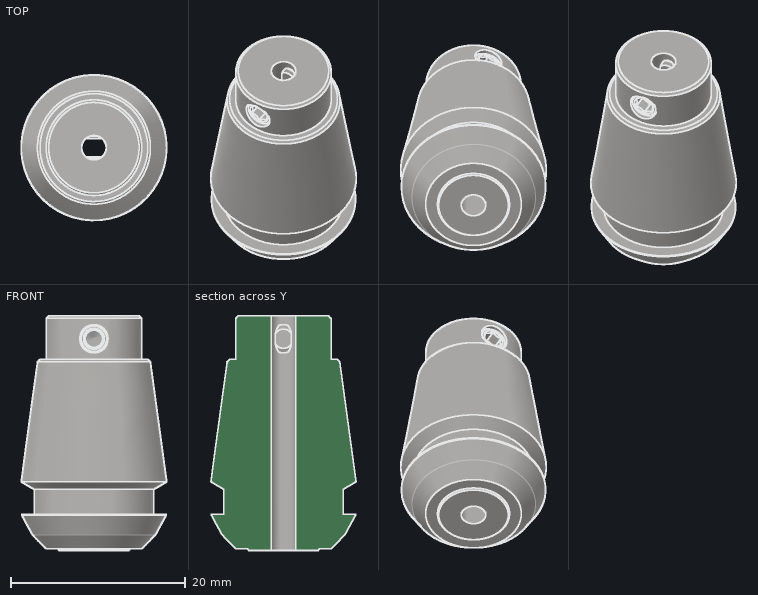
import cadquery as cq
import math

total_height = 27.0
shoulder_height = 22.0
sleeve_rim_height = 7.9
sleeve_base_height = 7.03
foot_top_height = 4.2
foot_land_height = 0.15
foot_break_height = 1.83
pad_height = 0.2

neck_diameter = 11.0
sleeve_top_diameter = 13.0
sleeve_rim_diameter = 16.76
groove_diameter = 13.8
foot_diameter = 16.6
foot_break_diameter = 14.2
foot_bottom_diameter = 11.0
pad_top_diameter = 8.3
pad_bottom_diameter = 8.0
bore_diameter = 2.8
edge_chamfer = 0.3
neck_radius = neck_diameter / 2

screw_height = 24.35
screw_hole_diameter = 3.24
screw_chamfer = 0.15
screw_tip_chamfer_length = 0.25
screw_tip_diameter = 2.2
screw_face_distance = 5.05
screw_tip_distance = 1.05
socket_width = 2.0
socket_depth = 1.6
socket_mouth_diameter = 2.4
socket_point_angle = 120.0
hexagon_half_angle = 30.0
socket_corner_diameter = socket_width / math.cos(math.radians(hexagon_half_angle))


def make_body():
    """Revolve the outer profile about Z."""
    profile = [
        (0, 0),
        (pad_bottom_diameter / 2, 0),
        (pad_top_diameter / 2, pad_height),
        (foot_bottom_diameter / 2, pad_height),
        (foot_break_diameter / 2, foot_break_height),
        (foot_diameter / 2, foot_top_height - foot_land_height),
        (foot_diameter / 2, foot_top_height),
        (groove_diameter / 2, foot_top_height),
        (groove_diameter / 2, sleeve_base_height),
        (sleeve_rim_diameter / 2, sleeve_rim_height),
        (sleeve_top_diameter / 2, shoulder_height - edge_chamfer),
        (sleeve_top_diameter / 2 - edge_chamfer, shoulder_height),
        (neck_radius, shoulder_height),
        (neck_radius, total_height - edge_chamfer),
        (neck_radius - edge_chamfer, total_height),
        (0, total_height),
    ]
    return cq.Workplane("XZ").polyline(profile).close().revolve(360, (0, 0), (0, 1))


def make_cylinder(diameter, start, end):
    """Cylinder along +Z between two heights."""
    return cq.Workplane("XY").workplane(offset=start).circle(diameter / 2).extrude(end - start)


def make_bore():
    """Through bore along Z, partly blocked by the chamfered tips of the two screws."""
    bore = make_cylinder(bore_diameter, 0, total_height)
    tip_chamfer_width = (screw_hole_diameter - screw_tip_diameter) / 2
    tip = make_cylinder(screw_hole_diameter, screw_tip_distance, neck_radius)
    tip = tip.faces("<Z").chamfer(screw_tip_chamfer_length, tip_chamfer_width)
    for side in (1, -1):
        bore = bore.cut(place_on_side(tip, side))
    return bore


def make_screw_recess():
    """Space left open in front of a screw: the end of its hole and its chamfered rim."""
    recess = make_cylinder(screw_hole_diameter, screw_face_distance - screw_chamfer, neck_radius)
    head = make_cylinder(screw_hole_diameter, screw_tip_distance, screw_face_distance)
    return recess.cut(head.faces(">Z").chamfer(screw_chamfer))


def make_socket():
    """Hexagon socket with a countersunk mouth and a drilled point at its bottom."""
    bottom = screw_face_distance - socket_depth
    hexagon = (
        cq.Workplane("XY")
        .workplane(offset=bottom)
        .polygon(6, socket_corner_diameter)
        .extrude(socket_depth)
        .rotate((0, 0, 0), (0, 0, 1), hexagon_half_angle)
    )
    point_radius = socket_width / 2
    point_depth = point_radius / math.tan(math.radians(socket_point_angle / 2))
    point = cq.Solid.makeCone(0, point_radius, point_depth, pnt=cq.Vector(0, 0, bottom - point_depth))
    mouth_radius = socket_mouth_diameter / 2
    mouth_apex = cq.Vector(0, 0, screw_face_distance - mouth_radius)
    mouth = cq.Solid.makeCone(0, mouth_radius, mouth_radius, pnt=mouth_apex)
    return hexagon.union(cq.Workplane(point)).union(cq.Workplane(mouth))


def place_on_side(shape, side):
    """Turn a shape built along +Z to point along -Y (side = 1) or +Y (side = -1)."""
    turned = shape.rotate((0, 0, 0), (1, 0, 0), side * 90)
    return turned.translate((0, 0, screw_height))


result = make_body().cut(make_bore())
for side in (1, -1):
    result = result.cut(place_on_side(make_screw_recess(), side))
    result = result.cut(place_on_side(make_socket(), side))